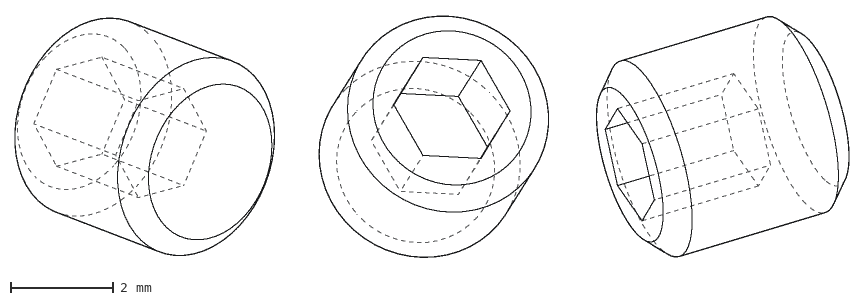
import cadquery as cq
import math

length = 4.0
diameter = 4.0
end_chamfer = 0.43
socket_across_flats = 2.0
socket_depth = 2.5

body = (
    cq.Workplane("YZ")
    .circle(diameter / 2)
    .extrude(length)
    .faces("<X or >X")
    .chamfer(end_chamfer)
)

socket_across_corners = socket_across_flats / math.cos(math.pi / 6)
socket = (
    cq.Workplane("YZ")
    .polygon(6, socket_across_corners)
    .extrude(socket_depth)
)

result = body.cut(socket).translate((-length / 2, 0, 0))